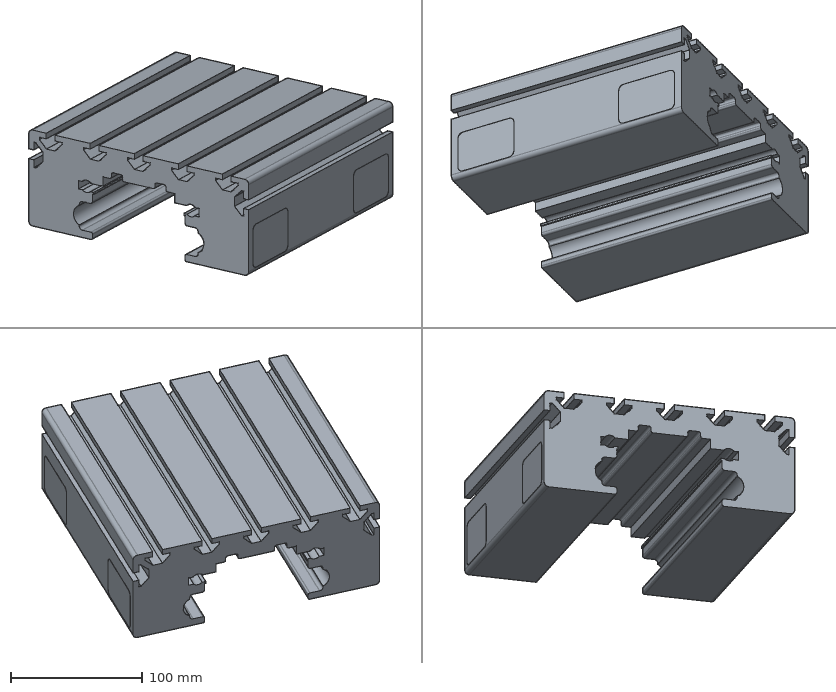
import cadquery as cq

overall_width = 200.2
length = 200.0
height = 78.0
pad_thickness = 0.1
body_width = overall_width - 2 * pad_thickness
half_width = body_width / 2
corner_radius = 3.6

slot_pitch = 40.0
slot_count = 5
slot_opening = 8.0
slot_lip = 4.6
slot_depth = 12.8
slot_inner_width = 20.5
slot_wall = 1.8
slot_floor_width = slot_inner_width - 2 * (slot_depth - slot_lip - slot_wall)
side_slot_z = height - 20.0

channel_half_width = 42.0
flange_thickness = 6.0
flange_tip_radius = 1.5
middle_half_width = 32.6
groove_floor_z = 38.8
groove_ceiling_z = 45.6
groove_half_width = 54.9
channel_ceiling_z = 53.3

tooth_length = 1.0
tooth_height = 1.8
fin_tip_radius = 2.0

pocket_half_width = 54.0
pocket_top_z = 29.2
pocket_corner_radius = 2.8
pocket_round_radius = 8.6
pocket_round_reach = 59.3

bore_x = 47.5
bore_z = 42.5
bore_radius = 5.0

notch_x = 19.8
notch_width = 10.2
notch_depth = 5.2
notch_corner_radius = 2.0
notch_mouth_radius = 1.5

pad_length = 48.5
pad_bottom_z = 4.2
pad_top_z = 39.2
pad_end_gap = 6.0
pad_corner_radius = 4.5


def box_between(x_min, x_max, z_min, z_max):
    """Full-length bar with the given X and Z limits."""
    return (
        cq.Workplane("XY")
        .box(x_max - x_min, length, z_max - z_min)
        .translate(((x_min + x_max) / 2, 0, (z_min + z_max) / 2))
    )


def centered_bar(half_span, z_min, z_max):
    """Full-length bar, symmetric about X = 0."""
    return box_between(-half_span, half_span, z_min, z_max)


def rod(x, z, radius):
    """Full-length cylinder along Y."""
    return cq.Workplane("XZ").center(x, z).circle(radius).extrude(length / 2, both=True)


def t_slot():
    """T-slot cutter, open toward +Z, with its mouth at Z = 0 and 45-degree lower flanks."""
    half_profile = [
        (slot_opening / 2, 0),
        (slot_opening / 2, -slot_lip),
        (slot_inner_width / 2, -slot_lip),
        (slot_inner_width / 2, -slot_lip - slot_wall),
        (slot_floor_width / 2, -slot_depth),
    ]
    mirrored = [(-x, z) for x, z in reversed(half_profile)]
    return cq.Workplane("XZ").polyline(half_profile + mirrored).close().extrude(length / 2, both=True)


def channel():
    """Stepped channel cutter with its grooves, pockets, bores and notches."""
    tooth_bottom_z = groove_floor_z - tooth_height
    cutter = centered_bar(channel_half_width, 0, groove_ceiling_z)
    tooth = box_between(
        channel_half_width - tooth_length, channel_half_width, tooth_bottom_z, groove_floor_z
    )
    cutter = cutter.cut(tooth).cut(tooth.mirror("YZ"))
    cutter = cutter.union(centered_bar(groove_half_width, groove_floor_z, groove_ceiling_z))
    cutter = cutter.union(centered_bar(middle_half_width, groove_ceiling_z, channel_ceiling_z))

    pocket = centered_bar(pocket_half_width, flange_thickness, pocket_top_z)
    cutter = cutter.union(pocket.edges("|Y").fillet(pocket_corner_radius))

    notch = centered_bar(notch_width / 2, channel_ceiling_z, channel_ceiling_z + notch_depth)
    notch = notch.edges("|Y and >Z").fillet(notch_corner_radius)
    pocket_z = (flange_thickness + pocket_top_z) / 2
    pocket_round_x = pocket_round_reach - pocket_round_radius
    for side in (-1, 1):
        cutter = cutter.union(rod(side * pocket_round_x, pocket_z, pocket_round_radius))
        cutter = cutter.union(rod(side * bore_x, bore_z, bore_radius))
        cutter = cutter.union(notch.translate((side * notch_x, 0, 0)))
    return cutter


def round_edges_at(solid, x, z, radius):
    """Fillet the two lengthwise edges at (-x, z) and (+x, z)."""
    reach = 0.2
    for edge_x in (-x, x):
        near_edge = cq.selectors.BoxSelector(
            (edge_x - reach, -length, z - reach), (edge_x + reach, length, z + reach)
        )
        solid = solid.edges("|Y").edges(near_edge).fillet(radius)
    return solid


def side_pad(side, end):
    """Thin rounded pad on the -X or +X face (side), near the -Y or +Y end."""
    pad_center_y = end * (length / 2 - pad_end_gap - pad_length / 2)
    pad_center_x = side * (half_width + pad_thickness / 2)
    return (
        cq.Workplane("XY")
        .box(pad_thickness, pad_length, pad_top_z - pad_bottom_z)
        .edges("|X")
        .fillet(pad_corner_radius)
        .translate((pad_center_x, pad_center_y, (pad_bottom_z + pad_top_z) / 2))
    )


body = centered_bar(half_width, 0, height).edges("|Y").fillet(corner_radius)
body = body.cut(channel())

for flange_z in (0, flange_thickness):
    body = round_edges_at(body, channel_half_width, flange_z, flange_tip_radius)
body = round_edges_at(body, channel_half_width, pocket_top_z, fin_tip_radius)
for notch_side in (-1, 1):
    mouth_x = notch_x + notch_side * notch_width / 2
    body = round_edges_at(body, mouth_x, channel_ceiling_z, notch_mouth_radius)

for index in range(slot_count):
    slot_x = (index - (slot_count - 1) / 2) * slot_pitch
    body = body.cut(t_slot().translate((slot_x, 0, height)))

for side in (-1, 1):
    side_slot = t_slot().rotate((0, 0, 0), (0, 1, 0), side * 90)
    body = body.cut(side_slot.translate((side * half_width, 0, side_slot_z)))
    for end in (-1, 1):
        body = body.union(side_pad(side, end))

result = body